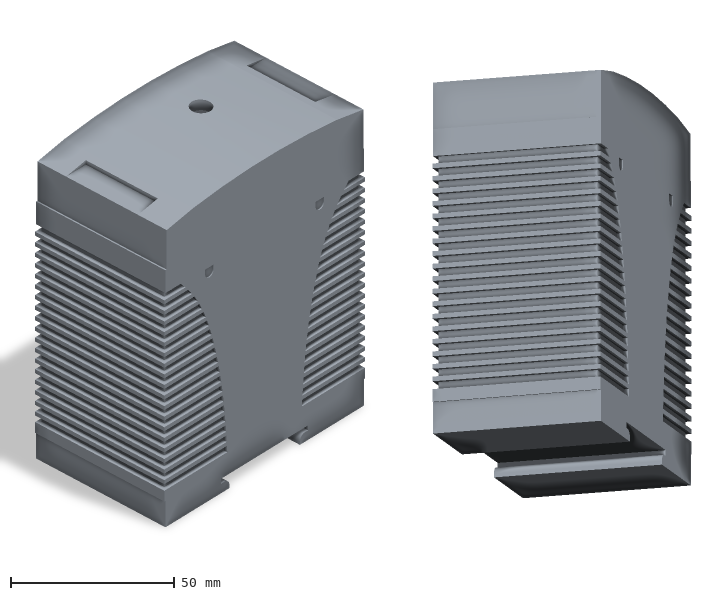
import cadquery as cq

width = 54.0
depth = 90.0
height = 114.7

wall_half_depth = 44.5
foot_band_bottom = 9.9
fin_zone_bottom = 13.9
fin_zone_top = 87.3
ledge_height = 95.8
ledge_inner = 43.0

groove_count = 19
fin_thickness = 1.5
fin_pitch = (fin_zone_top - fin_zone_bottom + fin_thickness) / groove_count
side_groove_depth = 1.4
end_groove_depth = 1.5
groove_end_curve = [(37.7, fin_zone_top), (28.9, 74.8), (22.5, 56.4), (18.9, 37.8), (16.7, fin_zone_bottom)]

slot_half_depth = 19.5
slot_top = 5.4
hook_top = 3.5
hook_half_gap = 15.8
hook_radius = 2.3

lens_half_length = 24.8
lens_middle = 90.3
lens_top = 98.7
lens_bottom = 81.5

seam_middle = (33.6, 92.2)

shield_offset = 24.8
shield_width = 3.8
shield_top = 86.9
shield_bottom = 83.1
shield_depth = 0.5

cap_center = 0.2
cap_half_depth = 44.2
cap_corner_height = 110.4
crown_half_depth = 32.2
crown_edge_height = 112.6

pocket_inner = 35.3
pocket_right = 15.0
front_pocket_left = -15.0
back_pocket_left = -13.6

hole_x = -6.4
hole_y = 7.3
hole_radius = 3.8
hole_depth = 4.1


def extrude_across(sketch):
    """Extrude a YZ outline over the whole width, centred on X."""
    return sketch.extrude(width / 2, both=True)


def block(x_range, y_range, z_range):
    """Box given by its limits along each axis."""
    size = [high - low for low, high in (x_range, y_range, z_range)]
    return cq.Workplane("XY").box(*size, centered=False).translate((x_range[0], y_range[0], z_range[0]))


def make_lens():
    outline = (
        cq.Workplane("YZ")
        .moveTo(-lens_half_length, lens_middle)
        .threePointArc((0, lens_top), (lens_half_length, lens_middle))
        .threePointArc((0, lens_bottom), (-lens_half_length, lens_middle))
        .close()
    )
    return extrude_across(outline)


def housing_blank():
    """Housing without its grooves, slot and recesses; the top follows the seam and the lens."""
    seam_y, seam_z = seam_middle
    outline = (
        cq.Workplane("YZ")
        .moveTo(-wall_half_depth, 0)
        .lineTo(-wall_half_depth, foot_band_bottom)
        .lineTo(-depth / 2, foot_band_bottom)
        .lineTo(-depth / 2, fin_zone_top)
        .lineTo(-wall_half_depth, fin_zone_top)
        .lineTo(-wall_half_depth, ledge_height)
        .lineTo(-ledge_inner, ledge_height)
        .threePointArc((-seam_y, seam_z), (-lens_half_length, lens_middle))
        .threePointArc((0, lens_bottom), (lens_half_length, lens_middle))
        .threePointArc((seam_y, seam_z), (ledge_inner, ledge_height))
        .lineTo(wall_half_depth, ledge_height)
        .lineTo(wall_half_depth, fin_zone_top)
        .lineTo(depth / 2, fin_zone_top)
        .lineTo(depth / 2, foot_band_bottom)
        .lineTo(wall_half_depth, foot_band_bottom)
        .lineTo(wall_half_depth, 0)
        .close()
    )
    return extrude_across(outline)


def fin_grooves():
    """Grooves around both ends; on the X faces they stop at the curved groove ends."""
    back_zone = extrude_across(
        cq.Workplane("YZ")
        .moveTo(*groove_end_curve[0])
        .spline(groove_end_curve[1:], includeCurrent=True)
        .lineTo(depth, fin_zone_bottom)
        .lineTo(depth, fin_zone_top)
        .close()
    )
    core_x = width / 2 - side_groove_depth
    core_y = depth / 2 - end_groove_depth
    core = block((-core_x, core_x), (-core_y, core_y), (0, height))
    back_zone = back_zone.cut(core)
    zones = back_zone.union(back_zone.mirror("XZ"))

    gaps = cq.Workplane("XY")
    for index in range(groove_count):
        gap_bottom = fin_zone_bottom + index * fin_pitch
        gap_top = gap_bottom + fin_pitch - fin_thickness
        gaps = gaps.add(block((-width, width), (-depth, depth), (gap_bottom, gap_top)))
    return zones.intersect(gaps.combine())


def rail_slot():
    """Slot through the foot, with a rounded hook along each side."""
    hook_round_start = hook_half_gap + hook_radius
    hook_round_end = hook_top - hook_radius
    outline = (
        cq.Workplane("YZ")
        .moveTo(-hook_half_gap, 0)
        .lineTo(-hook_half_gap, hook_round_end)
        .radiusArc((-hook_round_start, hook_top), -hook_radius)
        .lineTo(-slot_half_depth, hook_top)
        .lineTo(-slot_half_depth, slot_top)
        .lineTo(slot_half_depth, slot_top)
        .lineTo(slot_half_depth, hook_top)
        .lineTo(hook_round_start, hook_top)
        .radiusArc((hook_half_gap, hook_round_end), -hook_radius)
        .lineTo(hook_half_gap, 0)
        .close()
    )
    return extrude_across(outline)


def shield_recess(y):
    """Recess in the -X face: flat top, straight sides and round bottom."""
    radius = shield_width / 2
    return (
        cq.Workplane("YZ", origin=(-width / 2, y, 0))
        .moveTo(-radius, shield_top)
        .lineTo(-radius, shield_bottom + radius)
        .threePointArc((0, shield_bottom), (radius, shield_bottom + radius))
        .lineTo(radius, shield_top)
        .close()
        .extrude(shield_depth)
    )


def make_housing():
    body = housing_blank().cut(fin_grooves()).cut(rail_slot())
    for y in (-shield_offset, shield_offset):
        recess = shield_recess(y)
        body = body.cut(recess).cut(recess.mirror("YZ"))
    return body


def cap_blank():
    """Cap without pockets and hole: arched roof with sloped ends, underside on the seam and the lens."""
    seam_y, seam_z = seam_middle
    front = cap_center - cap_half_depth
    back = cap_center + cap_half_depth
    outline = (
        cq.Workplane("YZ")
        .moveTo(front, ledge_height)
        .lineTo(front, cap_corner_height)
        .lineTo(cap_center - crown_half_depth, crown_edge_height)
        .threePointArc((cap_center, height), (cap_center + crown_half_depth, crown_edge_height))
        .lineTo(back, cap_corner_height)
        .lineTo(back, ledge_height)
        .lineTo(ledge_inner, ledge_height)
        .threePointArc((seam_y, seam_z), (lens_half_length, lens_middle))
        .threePointArc((0, lens_top), (-lens_half_length, lens_middle))
        .threePointArc((-seam_y, seam_z), (-ledge_inner, ledge_height))
        .close()
    )
    return extrude_across(outline)


def make_cap():
    pocket_heights = (cap_corner_height, height)
    front_pocket = block(
        (front_pocket_left, pocket_right),
        (cap_center - cap_half_depth, cap_center - pocket_inner),
        pocket_heights,
    )
    back_pocket = block(
        (back_pocket_left, pocket_right),
        (cap_center + pocket_inner, cap_center + cap_half_depth),
        pocket_heights,
    )
    hole = (
        cq.Workplane("XY", origin=(hole_x, hole_y, height - hole_depth))
        .circle(hole_radius)
        .extrude(hole_depth)
    )
    return cap_blank().cut(front_pocket).cut(back_pocket).cut(hole)


housing = make_housing()
lens = make_lens()
cap = make_cap()

result = cq.Compound.makeCompound([housing.val(), lens.val(), cap.val()])